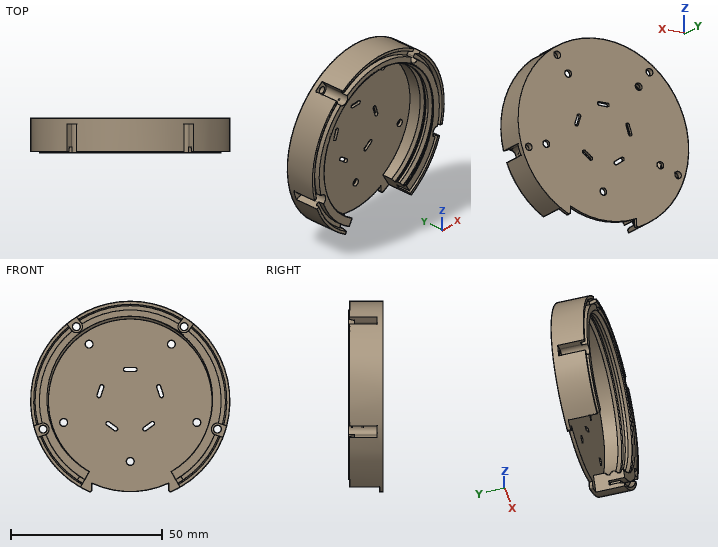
import cadquery as cq
import math


outer_radius = 32.9
bore_radius = 27.0
floor_thickness = 1.2
inner_wall_depth = 11.5
outer_rim_depth = 11.1

groove_inner_radius = 30.0
groove_floor_radius = 31.4
groove_mouth_radius = 31.87
groove_floor_depth = 9.5

opening_half_angle = 30.0
notch_half_width = 12.65
notch_radius = 30.0
foot_fillet = 0.68

end_pocket_angle = 3.8
end_pocket_floor_depth = 6.0

screw_angles = (-18, 54, 126, 198)
screw_circle_radius = 30.25
screw_hole_diameter = 2.5
screw_slot_width = 4.0
screw_seat_depth = 2.0

floor_hole_diameter = 2.5
floor_hole_circle_radius = 23.1
lower_floor_hole_radius = 20.0
vent_count = 5
vent_circle_radius = 10.35
vent_length = 4.4
vent_width = 1.25

thread_pitch = 3.5
thread_height = 0.93
thread_root_width = 0.45
thread_flank_width = 1.05
thread_exit_angle = 108.0
thread_end_angle = -90.0
thread_full_turns = 1
thread_run_out = thread_pitch

overcut = 1.0


def disc(radius, start_depth, end_depth):
    """Cylinder on the ring axis between two depths."""
    return cq.Workplane("XZ", origin=(0, -start_depth, 0)).circle(radius).extrude(end_depth - start_depth)


def sector(radius, start_angle, end_angle, start_depth, end_depth):
    """Wedge reaching past the given radius, between two angles from +X toward +Z."""
    reach = radius / math.cos(math.radians(end_angle - start_angle) / 2)
    corners = [(reach * math.cos(math.radians(a)), reach * math.sin(math.radians(a)))
               for a in (start_angle, end_angle)]
    wedge = cq.Workplane("XZ", origin=(0, -start_depth, 0)).polyline([(0, 0)] + corners).close()
    return wedge.extrude(end_depth - start_depth)


def ring_body():
    """Floor disc with the grooved ring wall around it."""
    profile = [
        (0, 0),
        (outer_radius, 0),
        (outer_radius, -outer_rim_depth),
        (groove_mouth_radius, -outer_rim_depth),
        (groove_floor_radius, -groove_floor_depth),
        (groove_inner_radius, -groove_floor_depth),
        (groove_inner_radius, -inner_wall_depth),
        (bore_radius, -inner_wall_depth),
        (bore_radius, -floor_thickness),
        (0, -floor_thickness),
    ]
    return cq.Workplane("XY").polyline(profile).close().revolve(360, (0, 0, 0), (0, 1, 0))


def thread_groove():
    """Helical groove that leaves through the front of the bore and ends in the ring opening."""
    turns = thread_full_turns + (thread_exit_angle - thread_end_angle) / 360
    start_depth = inner_wall_depth - turns * thread_pitch
    length = turns * thread_pitch + thread_run_out
    helix = cq.Wire.makeHelix(thread_pitch, length, bore_radius)
    root = thread_root_width / 2
    slope = thread_flank_width / thread_height
    mouth = root + thread_flank_width + slope * overcut
    profile = [
        (bore_radius - overcut, -mouth),
        (bore_radius + thread_height, -root),
        (bore_radius + thread_height, root),
        (bore_radius - overcut, mouth),
    ]
    groove = cq.Workplane("XZ").polyline(profile).close().sweep(cq.Workplane(helix), isFrenet=True)
    groove = groove.rotate((0, 0, 0), (0, 0, 1), thread_end_angle)
    return groove.rotate((0, 0, 0), (1, 0, 0), 90).translate((0, -start_depth, 0))


def ring_opening():
    """Wedge that removes the wall above the floor around -Z."""
    return sector(outer_radius + overcut, -90 - opening_half_angle, -90 + opening_half_angle,
                  floor_thickness, inner_wall_depth + overcut)


def floor_notch():
    """Strip between the two feet, minus the disc that stays inside the notch radius."""
    depth = floor_thickness + overcut
    strip = (
        cq.Workplane("XZ")
        .center(0, -outer_radius)
        .rect(2 * notch_half_width, outer_radius)
        .extrude(depth)
    )
    return strip.cut(disc(notch_radius, 0, depth))


def end_pockets():
    """Deepened groove ends on both sides of the opening."""
    annulus = disc(groove_floor_radius, end_pocket_floor_depth, inner_wall_depth).cut(
        disc(groove_inner_radius, end_pocket_floor_depth, inner_wall_depth)
    )
    half_angle = opening_half_angle + end_pocket_angle
    return annulus.intersect(
        sector(outer_radius, -90 - half_angle, -90 + half_angle, end_pocket_floor_depth, inner_wall_depth)
    )


def screw_slot(angle):
    """Round-ended slot open to the outside and front, with a hole through its seat."""
    slot_depth = inner_wall_depth + overcut - screw_seat_depth
    reach = outer_radius + overcut - screw_circle_radius
    seat = cq.Workplane("XZ", origin=(0, -screw_seat_depth, 0))
    round_end = seat.center(screw_circle_radius, 0).circle(screw_slot_width / 2).extrude(slot_depth)
    channel = seat.center(screw_circle_radius + reach / 2, 0).rect(reach, screw_slot_width).extrude(slot_depth)
    hole = cq.Workplane("XZ").center(screw_circle_radius, 0).circle(screw_hole_diameter / 2)
    cutter = round_end.union(channel).union(hole.extrude(screw_seat_depth + overcut))
    return cutter.rotate((0, 0, 0), (0, 1, 0), -angle)


def floor_holes():
    """Four holes in line with the screws and one near the opening."""
    places = [(floor_hole_circle_radius, a) for a in screw_angles] + [(lower_floor_hole_radius, -90)]
    points = [(r * math.cos(math.radians(a)), r * math.sin(math.radians(a))) for r, a in places]
    holes = cq.Workplane("XZ").pushPoints(points).circle(floor_hole_diameter / 2)
    return holes.extrude(floor_thickness)


def vent_slot(index):
    """Tangential slot through the floor; the first one lies toward +Z."""
    slot = cq.Workplane("XZ").center(0, vent_circle_radius).slot2D(vent_length, vent_width)
    return slot.extrude(floor_thickness).rotate((0, 0, 0), (0, 1, 0), index * 360 / vent_count)


def round_feet(body):
    """Fillet the outer corner of each foot beside the notch."""
    foot_z = -math.sqrt(outer_radius**2 - notch_half_width**2)
    for side in (-1, 1):
        corner = cq.NearestToPointSelector((side * notch_half_width, -floor_thickness / 2, foot_z))
        body = body.edges("|Y").edges(corner).fillet(foot_fillet)
    return body


ring = ring_body().cut(thread_groove()).cut(ring_opening()).cut(floor_notch())
result = round_feet(ring).cut(end_pockets()).cut(floor_holes())
for screw_angle in screw_angles:
    result = result.cut(screw_slot(screw_angle))
for vent in range(vent_count):
    result = result.cut(vent_slot(vent))